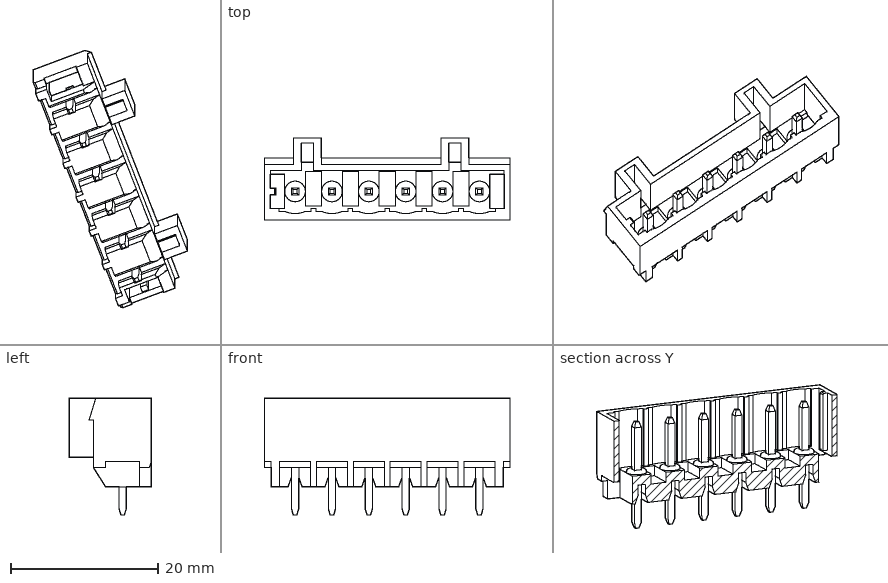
import cadquery as cq


LENGTH = 33.4
TOP_Z = 12.05
BODY_Z = 2.6
FLOOR_Z = 4.0
BACK_Y = 7.88
BEVEL_DEPTH = 0.3
BEVEL_TOP_Z = 3.4
LATCH_TIP_Y = 8.5
LATCH_Z = 9.05
RIM_BACK_Y = 7.55

END_WALL = 0.85
CAVITY_FRONT_Y = 1.6
CAVITY_BACK_Y = 6.78
INNER_END_X = LENGTH / 2 - END_WALL

PIN_COUNT = 6
PITCH = 5.0
PIN_XS = [(i - (PIN_COUNT - 1) / 2) * PITCH for i in range(PIN_COUNT)]
GAP_XS = [x + PITCH / 2 for x in PIN_XS[:-1]]
PIN_Y = 3.9
PIN_SIDE = 1.0
PIN_TIP_SIDE = 0.5
PIN_TOP_Z = 11.12
PIN_TOP_TAPER = 0.75
PIN_BOTTOM_Z = -3.85
PIN_BOTTOM_TAPER = 0.85

COLLAR_DIA = 2.8
COLLAR_ROUND = 0.4

SCALLOP_WIDTH = 4.38
SCALLOP_FLAT_Y = 1.2
SCALLOP_ARC_Y = 0.9
SCALLOP_ARC_CHORD = 2.8

POCKET_WIDTH = 2.2
POCKET_FRONT_Y = 1.9
POCKET_BACK_Y = 6.65
WINDOW_INNER_X = 13.95
WINDOW_BACK_Y = 6.25
NOTCH_TOP_Z = 3.4

CHANNEL_PIN_INDICES = (0, 4)
CHANNEL_OFFSET = 1.67
CHANNEL_WIDTH = 3.8
CHANNEL_BACK_Y = 11.2
CHANNEL_SLOT_WIDTH = 1.65
CHANNEL_SLOT_BACK_Y = 10.5

LUG_LENGTH = 0.75
LUG_WIDTH = 0.95
LUG_CHAMFER = 0.17

SKIRT_FRONT_Y = 1.05
SKIRT_END_X = 15.75
FOOT_CHAMFER_Y = 6.25
LEG_WIDTH = 0.8
END_LEG_WIDTH = 1.15
GROOVE_WIDTH = 1.87
GROOVE_TAPER_Z = 1.25


def block(x0, x1, y0, y1, z0, z1):
    """Box between two opposite corners."""
    return cq.Workplane("XY").box(x1 - x0, y1 - y0, z1 - z0, centered=False).translate((x0, y0, z0))


def centred_block(x, width, y0, y1, z0, z1):
    """Box of the given X width, centred on x."""
    return block(x - width / 2, x + width / 2, y0, y1, z0, z1)


def side_profile(points, half_length):
    """Prism along X from a (y, z) outline, symmetric about X = 0."""
    return cq.Workplane("YZ").polyline(points).close().extrude(half_length, both=True)


def make_shell():
    outline = [
        (0, BEVEL_TOP_Z),
        (BEVEL_DEPTH, BODY_Z),
        (BACK_Y, BODY_Z),
        (BACK_Y, LATCH_Z),
        (LATCH_TIP_Y, LATCH_Z),
        (RIM_BACK_Y, TOP_Z),
        (0, TOP_Z),
    ]
    return side_profile(outline, LENGTH / 2)


def make_feet():
    """Skirt and sloped foot under the shell, with a leg in front of each gap and each end."""
    skirt = block(-SKIRT_END_X, SKIRT_END_X, SKIRT_FRONT_Y, CAVITY_FRONT_Y, 0, BODY_Z)
    foot_outline = [
        (CAVITY_FRONT_Y, 0),
        (FOOT_CHAMFER_Y, 0),
        (BACK_Y, BODY_Z),
        (CAVITY_FRONT_Y, BODY_Z),
    ]
    feet = skirt.union(side_profile(foot_outline, WINDOW_INNER_X))
    for x in PIN_XS:
        feet = feet.cut(make_groove(x))

    end_leg_x = SKIRT_END_X - END_LEG_WIDTH / 2
    for x in (-end_leg_x, end_leg_x):
        feet = feet.union(centred_block(x, END_LEG_WIDTH, 0, SKIRT_FRONT_Y, 0, BEVEL_TOP_Z))
    for x in GAP_XS:
        feet = feet.union(centred_block(x, LEG_WIDTH, 0, SKIRT_FRONT_Y, 0, BEVEL_TOP_Z))
    return feet


def make_groove(x):
    """Groove through the foot below one pin, running from front to back."""
    outline = [
        (x - GROOVE_WIDTH / 2, 0),
        (x + GROOVE_WIDTH / 2, 0),
        (x + PIN_SIDE / 2, GROOVE_TAPER_Z),
        (x + PIN_SIDE / 2, BODY_Z),
        (x - PIN_SIDE / 2, BODY_Z),
        (x - PIN_SIDE / 2, GROOVE_TAPER_Z),
    ]
    return cq.Workplane("XZ").polyline(outline).close().extrude(-BACK_Y)


def make_scallop(x):
    """Relief in the front wall facing one pin, with an arched middle."""
    half_width = SCALLOP_WIDTH / 2
    half_chord = SCALLOP_ARC_CHORD / 2
    return (
        cq.Workplane("XY", origin=(x, 0, FLOOR_Z))
        .moveTo(-half_width, CAVITY_FRONT_Y)
        .lineTo(-half_width, SCALLOP_FLAT_Y)
        .lineTo(-half_chord, SCALLOP_FLAT_Y)
        .threePointArc((0, SCALLOP_ARC_Y), (half_chord, SCALLOP_FLAT_Y))
        .lineTo(half_width, SCALLOP_FLAT_Y)
        .lineTo(half_width, CAVITY_FRONT_Y)
        .close()
        .extrude(TOP_Z - FLOOR_Z)
    )


def make_collar(x):
    """Round-edged collar that stands on the foot and rises above the cavity floor."""
    return (
        cq.Workplane("XY", origin=(x, PIN_Y, BODY_Z))
        .circle(COLLAR_DIA / 2)
        .extrude(FLOOR_Z + COLLAR_ROUND - BODY_Z)
        .faces(">Z")
        .edges()
        .fillet(COLLAR_ROUND)
    )


def make_lug():
    """Coding lug flush with the rim, its inner top edge chamfered."""
    lug = block(
        -INNER_END_X, -INNER_END_X + LUG_LENGTH,
        PIN_Y - LUG_WIDTH / 2, PIN_Y + LUG_WIDTH / 2,
        FLOOR_Z, TOP_Z,
    )
    return lug.edges(">X and >Z").chamfer(LUG_CHAMFER)


def make_housing():
    housing = make_shell().union(make_feet())

    channel_xs = [PIN_XS[i] + CHANNEL_OFFSET for i in CHANNEL_PIN_INDICES]
    for x in channel_xs:
        housing = housing.union(
            centred_block(x, CHANNEL_WIDTH, CAVITY_BACK_Y, CHANNEL_BACK_Y, FLOOR_Z, TOP_Z)
        )
    housing = housing.cut(
        block(-INNER_END_X, INNER_END_X, CAVITY_FRONT_Y, CAVITY_BACK_Y, FLOOR_Z, TOP_Z)
    )
    for x in channel_xs:
        housing = housing.cut(
            centred_block(x, CHANNEL_SLOT_WIDTH, CAVITY_BACK_Y, CHANNEL_SLOT_BACK_Y, FLOOR_Z, TOP_Z)
        )
    for x in PIN_XS:
        housing = housing.cut(make_scallop(x))

    for x in GAP_XS:
        housing = housing.cut(
            centred_block(x, POCKET_WIDTH, POCKET_FRONT_Y, POCKET_BACK_Y, BODY_Z, FLOOR_Z)
        )

    window_width = INNER_END_X - WINDOW_INNER_X
    window_x = (INNER_END_X + WINDOW_INNER_X) / 2
    notch_x = (LENGTH - END_WALL) / 2
    for side in (-1, 1):
        housing = housing.cut(
            centred_block(side * window_x, window_width, CAVITY_FRONT_Y, WINDOW_BACK_Y, BODY_Z, FLOOR_Z)
        )
        housing = housing.cut(
            centred_block(side * notch_x, END_WALL, CAVITY_FRONT_Y, WINDOW_BACK_Y, BODY_Z, NOTCH_TOP_Z)
        )

    for x in PIN_XS:
        housing = housing.union(make_collar(x))
    housing = housing.union(make_lug())

    for x in PIN_XS:
        housing = housing.cut(
            centred_block(
                x, PIN_SIDE, PIN_Y - PIN_SIDE / 2, PIN_Y + PIN_SIDE / 2, 0, FLOOR_Z + COLLAR_ROUND
            )
        )
    return housing


def make_pin(x):
    """Square pin with a pyramid taper at both ends."""
    shank_bottom_z = PIN_BOTTOM_Z + PIN_BOTTOM_TAPER
    shank_top_z = PIN_TOP_Z - PIN_TOP_TAPER
    shank = (
        cq.Workplane("XY", origin=(x, PIN_Y, shank_bottom_z))
        .rect(PIN_SIDE, PIN_SIDE)
        .extrude(shank_top_z - shank_bottom_z)
    )
    return (
        shank
        .union(make_pin_taper(x, shank_top_z, PIN_TOP_TAPER))
        .union(make_pin_taper(x, shank_bottom_z, -PIN_BOTTOM_TAPER))
    )


def make_pin_taper(x, base_z, rise):
    """Truncated pyramid from the shank to the pin tip; a negative rise points down."""
    return (
        cq.Workplane("XY", origin=(x, PIN_Y, base_z))
        .rect(PIN_SIDE, PIN_SIDE)
        .workplane(offset=rise)
        .rect(PIN_TIP_SIDE, PIN_TIP_SIDE)
        .loft(combine=True)
    )


housing = make_housing()
pins = [make_pin(x) for x in PIN_XS]

result = cq.Compound.makeCompound([*housing.solids().vals(), *[pin.val() for pin in pins]])